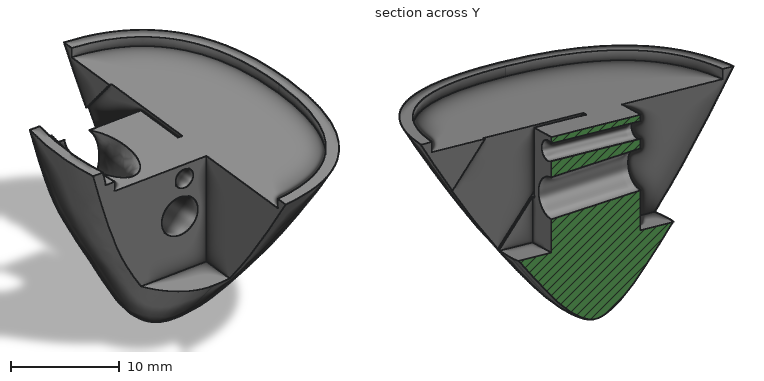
import cadquery as cq
import math

total_height = 21.95
rim_z = 20.45
floor_z = 19.43
ledge_z = 7.97
margin = 3.48
far = 2 * total_height

shell_sections = [
    (0.0, 0.35, 0.35, 0.42),
    (0.25, 0.9, 0.97, 1.45),
    (1.08, 2.35, 2.37, 3.25),
    (4.42, 5.8, 4.77, 6.6),
    (8.65, 9.3, 6.85, 9.45),
    (13.2, 12.7, 8.85, 11.95),
    (17.03, 15.32, 10.0, 13.72),
    (rim_z, 17.5, 10.85, 14.97),
    (total_height, 18.45, 11.25, 15.5),
]
back_fullness = 0.69
side_fullness = 0.64

block_half_width = 4.98
rear_face_y = 2.05

recess_half_width = 16.3
recess_front = 8.77
recess_back = 13.85
lip_half_width = 17.4
lip_front_low = 9.8
lip_front_high = 10.15

slot_front_y = 1.8
slot_back_y = 2.3
slot_left_x = -10.27
slot_right_x = 0.85
slot_angle = 50.0

pin_y, pin_z, pin_radius = -0.45, 17.9, 1.0
bore_y, bore_z, bore_radius = -0.97, 13.35, 2.05
bore_tilt = 3.8

scoop_y = -5.45
scoop_half_width = 2.5
scoop_half_height = 3.0
scoop_low_z = 12.43
scoop_end_x = 3.85


def outline(z, half_width, front, back):
    """Closed egg outline: half ellipse in front, fuller curve behind."""
    handle_x = back_fullness * half_width
    handle_y = side_fullness * back
    return (
        cq.Workplane("XY", origin=(0, 0, z))
        .moveTo(half_width, 0)
        .bezier([(half_width, 0), (half_width, handle_y), (handle_x, back), (0, back)])
        .bezier([(0, back), (-handle_x, back), (-half_width, handle_y), (-half_width, 0)])
        .ellipseArc(half_width, front, 180, 360, startAtCurrent=True)
        .close()
    )


def loft(sections, ruled=False):
    wires = [outline(*section).val() for section in sections]
    return cq.Workplane(cq.Solid.makeLoft(wires, ruled))


def side_cut(side):
    """Space beside the central block, in front of the rear wall."""
    center_x = side * (block_half_width + far / 2)
    return cq.Workplane("XY").box(far, far, far, centered=(True, False, False)).translate(
        (center_x, rear_face_y - far, ledge_z)
    )


def rim_recess():
    depth = total_height - floor_z
    return outline(floor_z, recess_half_width, recess_front, recess_back).extrude(depth)


def above_rim():
    """Space above the flat rim behind the rear wall."""
    return cq.Workplane("XY").box(far, far, far, centered=(True, False, False)).translate(
        (0, rear_face_y, rim_z)
    )


def lip_opening():
    """Space above the block, bounded in front by the sloped inner face of the lip."""
    bottom = (rim_z, lip_half_width, lip_front_low, recess_back)
    top = (total_height, lip_half_width, lip_front_high, recess_back)
    return loft([bottom, top], ruled=True)


def diagonal_slot():
    run = floor_z / math.tan(math.radians(slot_angle))
    return (
        cq.Workplane("XZ", origin=(0, slot_back_y, 0))
        .polyline([
            (slot_left_x, floor_z),
            (slot_right_x, floor_z),
            (slot_right_x - run, 0),
            (slot_left_x - run, 0),
        ])
        .close()
        .extrude(slot_back_y - slot_front_y)
    )


def cross_hole(y, z, radius, tilt):
    """Hole along X, rising by the tilt angle from the left side of the block."""
    angle = math.radians(tilt)
    direction = cq.Vector(math.cos(angle), 0, math.sin(angle))
    start = cq.Vector(-block_half_width, y, z) - direction * margin
    length = 2 * (block_half_width + margin)
    return cq.Workplane(cq.Solid.makeCylinder(radius, length, start, direction))


def scoop():
    slope = math.atan2(floor_z - scoop_low_z, scoop_end_x + block_half_width)
    axis = cq.Vector(math.cos(slope), 0, math.sin(slope))
    across = cq.Vector(-math.sin(slope), 0, math.cos(slope))
    low_point = cq.Vector(-block_half_width, scoop_y, scoop_low_z)
    start = low_point + across * scoop_half_height - axis * (far / 2)
    plane = cq.Plane(origin=start, xDir=across, normal=axis)
    return cq.Workplane(plane).ellipse(scoop_half_height, scoop_half_width).extrude(far)


result = loft(shell_sections)
for side in (-1, 1):
    result = result.cut(side_cut(side))
result = result.cut(above_rim()).cut(lip_opening()).cut(rim_recess())
result = result.cut(diagonal_slot())
result = result.cut(cross_hole(pin_y, pin_z, pin_radius, 0))
result = result.cut(cross_hole(bore_y, bore_z, bore_radius, bore_tilt))
result = result.cut(scoop())